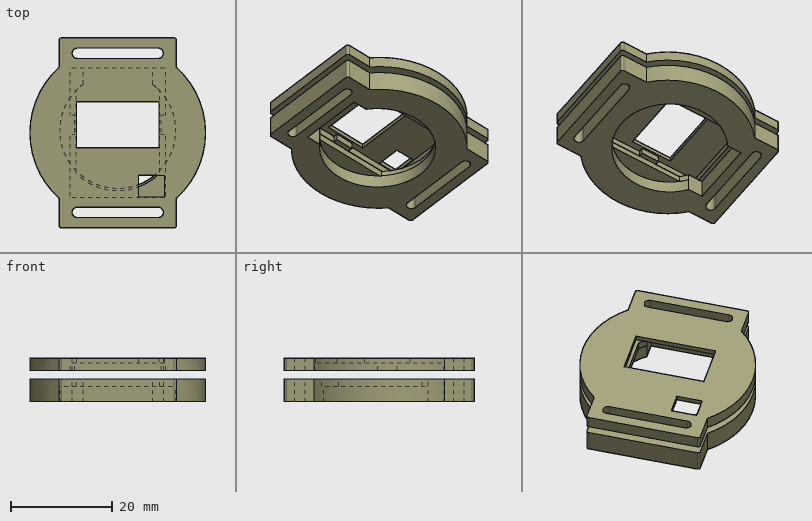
import cadquery as cq

disc_radius = 17.38
ear_width = 23.2
overall_length = 37.59
ear_corner_radius = 0.5

slot_length = 18.0
slot_width = 2.0
slot_centre_y = 15.72

base_thickness = 4.5
plate_gap = 1.6
cover_thickness = 2.5
cover_bottom = base_thickness + plate_gap

cavity_depth = 3.0
cavity_radius = 11.45
cavity_centre_y = 0.45
rim_radius = 11.65
rim_centre_y = 0.2
rim_width = 16.5
notch_width = 13.7
notch_end_y = 12.8

face_thickness = 1.0
pocket_depth = cover_thickness - face_thickness
pocket_width = 18.9
pocket_length = 2 * notch_end_y
window_width = 16.3
window_length = 9.0
window_centre_y = 1.6
port_width = 5.15
port_length = 4.25
port_centre_x = 6.7
port_centre_y = -10.52

tab_length = 3.9
tab_spacing = 17.0
tab_width = (pocket_width - tab_spacing) / 2


def block(width, length, height, x, y, z):
    """Box centred on (x, y) that rises from z."""
    return cq.Workplane("XY", origin=(x, y, z)).rect(width, length).extrude(height)


def disc(radius, height, y, z):
    """Upright cylinder centred on (0, y) that rises from z."""
    return cq.Workplane("XY", origin=(0, y, z)).circle(radius).extrude(height)


def strap_plate(thickness, bottom):
    """Disc with two ears and a through slot in each ear."""
    ears = block(ear_width, overall_length, thickness, 0, 0, bottom)
    ears = ears.edges("|Z").fillet(ear_corner_radius)
    plate = disc(disc_radius, thickness, 0, bottom).union(ears)
    slots = (
        cq.Workplane("XY", origin=(0, 0, bottom))
        .pushPoints([(0, -slot_centre_y), (0, slot_centre_y)])
        .slot2D(slot_length, slot_width)
        .extrude(thickness)
    )
    return plate.cut(slots)


def make_base():
    """Lower body: strap plate opened by a stepped round cavity and an end notch."""
    rim_depth = base_thickness - cavity_depth
    cavity = disc(cavity_radius, cavity_depth, cavity_centre_y, 0)
    rim = disc(rim_radius, rim_depth, rim_centre_y, cavity_depth)
    rim_sides = block(rim_width, overall_length, rim_depth, 0, 0, cavity_depth)
    notch = block(notch_width, notch_end_y, base_thickness, 0, notch_end_y / 2, 0)
    base = strap_plate(base_thickness, 0)
    return base.cut(cavity).cut(rim.intersect(rim_sides)).cut(notch)


def make_cover():
    """Upper body: strap plate pocketed from below, with a window and a port."""
    pocket = block(pocket_width, pocket_length, pocket_depth, 0, 0, cover_bottom)
    for side in (-1, 1):
        tab_x = side * (tab_spacing + tab_width) / 2
        tab = block(tab_width, tab_length, pocket_depth, tab_x, window_centre_y, cover_bottom)
        pocket = pocket.cut(tab)
    window = block(window_width, window_length, cover_thickness, 0, window_centre_y, cover_bottom)
    port = block(port_width, port_length, cover_thickness, port_centre_x, port_centre_y, cover_bottom)
    return strap_plate(cover_thickness, cover_bottom).cut(pocket).cut(window).cut(port)


base = make_base()
cover = make_cover()

result = cq.Compound.makeCompound([base.val(), cover.val()])